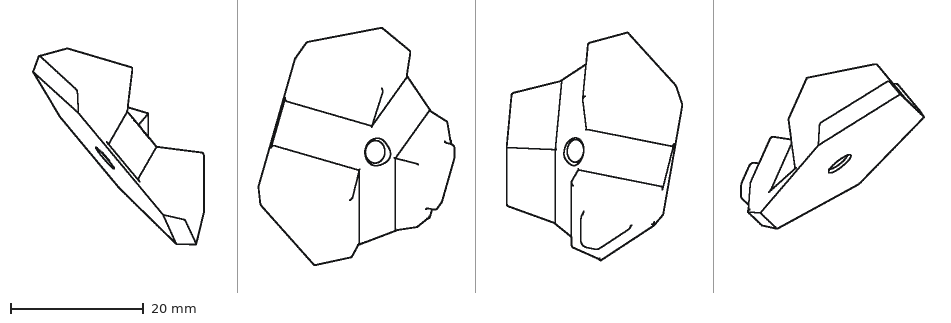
import cadquery as cq
import math

V = cq.Vector
BLANK = 118.4

HEX_HIGH = 24.2
HEX_LOW = 9.98
HEX_DEPTH = 9.5
BASE_SLOPE = 0.634
TIP_X = 12.45

FACE_A = 20.7
FACE_B = 29.1
SIDE_A = 14.03
FLOOR_Y = 17.08
FLOOR_WIDTH = 6.25
LEAN = math.asin(0.25)
EDGE_RADIUS = 0.5
HUB_RADIUS = 1.18

HOLE_DIAMETER = 3.4
HOLE_CHAMFER = 0.4
HOLE_OVERRUN = 0.3
HOLE_X = 12.22

BOSS_MIN = 3.97
BOSS_MAX = 11.85
BOSS_DIAGONAL = 13.05
BOSS_TOP = 22.73
BOSS_INNER_RADIUS = 3.08
BOSS_OUTER_RADIUS = 1.05
BOSS_TOP_RADIUS = 0.5
BOSS_FOOT_RADIUS = 0.83


def mirror(v):
    """Swap X and Z."""
    return V(v.z, v.y, v.x)


def plane(point, normal):
    """Cutting plane; the material stays on the side away from the normal."""
    return cq.Plane(origin=point.toTuple(), normal=normal.toTuple())


def mirror_plane(p):
    return plane(mirror(p.origin), mirror(p.zDir))


def trimmed(planes):
    """Convex solid behind all the given planes."""
    solid = cq.Workplane().box(BLANK, BLANK, BLANK)
    for p in planes:
        solid = solid.cut(cq.Workplane(p).rect(2 * BLANK, 2 * BLANK).extrude(2 * BLANK))
    return solid


def edges_between(solid, pairs):
    """Edges of the solid along which the two planes of any pair meet."""

    def lies_on(edge, p):
        ends = (edge.startPoint(), edge.endPoint())
        return all(abs((end - p.origin).dot(p.zDir)) < 2.96e-05 for end in ends)

    edges = solid.edges().vals()
    return [e for e in edges if any(lies_on(e, p) and lies_on(e, q) for p, q in pairs)]


def rounded(solid, pairs, radius):
    return solid.newObject([solid.val().fillet(radius, edges_between(solid, pairs))])


normal_a = V(0, 1, 0)
normal_b = V(0, math.sin(LEAN), math.cos(LEAN))
normal_c = mirror(normal_b)
base_normal = V(-BASE_SLOPE, -1, -BASE_SLOPE).normalized()
swap_axis = V(1, 0, -1)

hex_corner = V(0, HEX_DEPTH, HEX_HIGH)
base_reach = HEX_DEPTH + BASE_SLOPE * HEX_HIGH
tip_corner = V(TIP_X, 0, base_reach / BASE_SLOPE - TIP_X)
base = plane(hex_corner, base_normal)
end_ab = plane(hex_corner, base_normal.cross(V(0, -BASE_SLOPE, 1)))
end_ac = mirror_plane(end_ab)
end_bc = plane(tip_corner, base_normal.cross(swap_axis))
outer_a = plane(V(0, 0, HEX_LOW), V(-1, 0, -1))
outer_b = plane(hex_corner, (tip_corner - hex_corner).cross(normal_b))
outer_c = mirror_plane(outer_b)
outside = [base, end_ab, end_ac, end_bc, outer_a, outer_b, outer_c]

floor_ab_normal = (normal_a + normal_b).normalized()
corner_a = V(SIDE_A, FLOOR_Y, SIDE_A)
corner_b = corner_a + floor_ab_normal.cross(V(-1, 0, 0)) * FLOOR_WIDTH

face_a = plane(normal_a * FACE_A, normal_a)
face_b = plane(normal_b * FACE_B, normal_b)
face_c = mirror_plane(face_b)

floor_ab = plane(corner_a, floor_ab_normal)
floor_ac = mirror_plane(floor_ab)
floor_bc = plane(corner_b, normal_b + normal_c)
hub = plane(corner_a, (corner_b - corner_a).cross(swap_axis))
core = trimmed(outside + [face_a, face_b, face_c, floor_ab, floor_ac, floor_bc, hub])
core = rounded(core, [(hub, floor_ab), (hub, floor_ac), (hub, floor_bc)], HUB_RADIUS)


def block(face, walls_and_ends):
    """Block with a flat face; each (wall, end) pair is a channel wall and the end plane next to it."""
    walls = [wall for wall, _ in walls_and_ends]
    ends = [end for _, end in walls_and_ends]
    solid = trimmed(outside + [face] + walls)
    pairs = [(face, p) for p in walls + ends] + walls_and_ends
    return rounded(solid, pairs, EDGE_RADIUS)


wall_ab = plane(corner_a, V(0, 0, 1))
wall_ba = plane(corner_b, normal_b.cross(V(1, 0, 0)))
wall_bc = plane(corner_b, normal_b.cross(normal_c).cross(normal_b))
block_a = block(face_a, [(wall_ab, end_ab), (mirror_plane(wall_ab), end_ac)])
block_b = block(face_b, [(wall_ba, end_ab), (wall_bc, end_bc)])
block_c = block(
    face_c,
    [(mirror_plane(wall_ba), end_ac), (mirror_plane(wall_bc), end_bc)],
)
body = core.union(block_a).union(block_b).union(block_c)


def make_boss():
    """Square boss with one corner cut off, rounded all round."""
    slant_end = BOSS_DIAGONAL - BOSS_MIN
    outline = [
        (BOSS_MAX, BOSS_MAX),
        (BOSS_MIN, BOSS_MAX),
        (BOSS_MIN, slant_end),
        (slant_end, BOSS_MIN),
        (BOSS_MAX, BOSS_MIN),
    ]
    boss_plane = cq.Plane(origin=(0, BOSS_TOP, 0), xDir=(1, 0, 0), normal=(0, -1, 0))
    height = BOSS_TOP - FACE_A
    boss = cq.Workplane(boss_plane).polyline(outline).close().extrude(height)
    inner = cq.selectors.NearestToPointSelector((BOSS_MAX, BOSS_TOP - height / 2, BOSS_MAX))
    upright = cq.selectors.ParallelDirSelector(normal_a)
    boss = boss.edges(upright - inner).fillet(BOSS_OUTER_RADIUS)
    boss = boss.edges(inner).fillet(BOSS_INNER_RADIUS)
    return boss.faces(">Y").edges().fillet(BOSS_TOP_RADIUS)


def on_boss_foot(edge):
    """True for the edges of the boss outline on the face of block A."""
    box = edge.BoundingBox()
    low = BOSS_MIN - EDGE_RADIUS
    high = BOSS_MAX + EDGE_RADIUS
    flat = abs(box.ymin - FACE_A) < 0.003 and abs(box.ymax - FACE_A) < 0.003
    return flat and min(box.xmin, box.zmin) > low and max(box.xmax, box.zmax) < high


body = body.union(make_boss())
foot_edges = [e for e in body.edges().vals() if on_boss_foot(e)]
body = body.newObject([body.val().fillet(BOSS_FOOT_RADIUS, foot_edges)])

hole_start = V(HOLE_X, base_reach - 2 * BASE_SLOPE * HOLE_X, HOLE_X)
hole_axis = base_normal * -1
hub_distance = (hub.origin - hole_start).dot(hub.zDir) / hole_axis.dot(hub.zDir)
hole_radius = HOLE_DIAMETER / 2
mouth_radius = hole_radius + HOLE_CHAMFER
exit_radius = mouth_radius + HOLE_OVERRUN
hole_profile = [
    (0, 0),
    (mouth_radius, 0),
    (hole_radius, HOLE_CHAMFER),
    (hole_radius, hub_distance - HOLE_CHAMFER),
    (exit_radius, hub_distance + HOLE_OVERRUN),
    (0, hub_distance + HOLE_OVERRUN),
]
hole_plane = cq.Plane(
    origin=hole_start.toTuple(),
    xDir=swap_axis.toTuple(),
    normal=swap_axis.cross(hole_axis).toTuple(),
)
hole = cq.Workplane(hole_plane).polyline(hole_profile).close().revolve(360, (0, 0), (0, 1))
result = body.cut(hole)